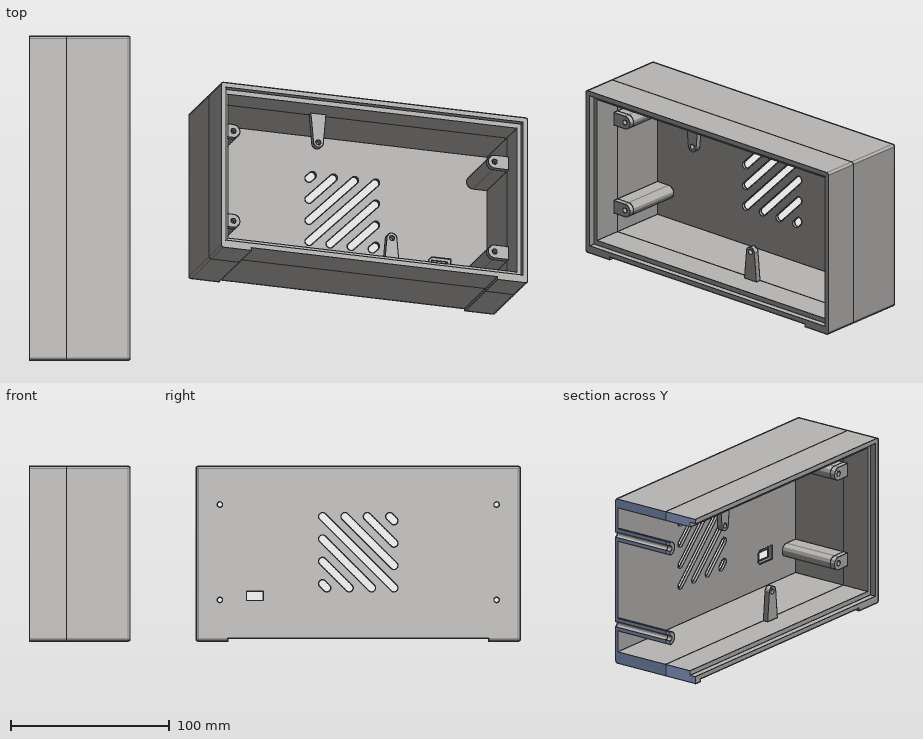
import cadquery as cq
import math

depth = 63.5
length = 204.5
height = 110.4
split_x = 23.5
edge_round = 1.5

side_wall = 5.7
top_wall = 6.1
foot_height = 1.8
foot_length = 20.0
bottom_wall = top_wall + foot_height
back_wall = 2.0
cavity_length = length - 2 * side_wall
cavity_height = height - top_wall - bottom_wall
center_z = bottom_wall + cavity_height / 2

rebate_depth = 4.0
rebate_margin_y = 2.7
rebate_margin_z = 3.0

tab_thickness = 3.5
tab_x = split_x - tab_thickness
screw_hole = 3.3
post_radius = 4.3
post_spacing_y = 174.4
post_spacing_z = 60.0
tapered_tab_radius = 3.3
tapered_tab_root = 10.0
tapered_tab_reach = 19.0
upper_tab_y = 30.5
lower_tab_y = -18.5

vent_radius = 2.5
vent_span = 45.0
vent_pitch = 14.1
vent_pairs = 3
vent_angle = 135

window_length = 10.5
window_height = 5.7
window_y = -65.2
window_z = 28.6
pocket_length = 15.0
pocket_height = 9.5
pocket_chamfer = 2.0
pocket_depth = back_wall / 2


def block(x0, x1, y_size, z_size, z_mid, y_mid=0.0):
    """Box from x0 to x1, centered on (y_mid, z_mid)."""
    return (
        cq.Workplane("YZ", origin=(x0, y_mid, z_mid))
        .rect(y_size, z_size)
        .extrude(x1 - x0)
    )


def outer_block():
    """Whole outer shape, with the gap between the feet cut from below."""
    body = block(0, depth, length, height, height / 2)
    body = body.edges("|X or >X").fillet(edge_round)
    gap = block(0, depth, length - 2 * foot_length, foot_height, foot_height / 2)
    return body.cut(gap)


def cavity():
    """Inner space of both bodies, with the wider rebate at the rim."""
    inside = block(0, depth - back_wall, cavity_length, cavity_height, center_z)
    rebate = block(
        0,
        rebate_depth,
        cavity_length + 2 * rebate_margin_y,
        cavity_height + 2 * rebate_margin_z,
        center_z,
    )
    return inside.union(rebate)


def screw_centers():
    """(y, z) of the four screws at the ends of the case."""
    return [
        (side * post_spacing_y / 2, center_z + level * post_spacing_z / 2)
        for side in (-1, 1)
        for level in (-1, 1)
    ]


def end_lugs(x0, x1):
    """Four round-ended lugs that reach in from the end walls."""
    lugs = cq.Workplane("YZ", origin=(x0, 0, 0))
    wall_y = cavity_length / 2
    for y, z in screw_centers():
        root_y = math.copysign(wall_y, y)
        tip_y = y - math.copysign(post_radius, y)
        lugs = (
            lugs.moveTo(root_y, z - post_radius)
            .lineTo(y, z - post_radius)
            .threePointArc((tip_y, z), (y, z + post_radius))
            .lineTo(root_y, z + post_radius)
            .close()
        )
    return lugs.extrude(x1 - x0)


def screw_holes(x0, x1, centers):
    return (
        cq.Workplane("YZ", origin=(x0, 0, 0))
        .pushPoints(centers)
        .circle(screw_hole / 2)
        .extrude(x1 - x0)
    )


def tapered_tab(y, wall_z, inward):
    """Tab that narrows from a long wall to a round, drilled tip; inward is +1 or -1 along Z."""
    tip_z = wall_z + inward * tapered_tab_reach
    tab = (
        cq.Workplane("YZ", origin=(tab_x, 0, 0))
        .moveTo(y - tapered_tab_root / 2, wall_z)
        .lineTo(y - tapered_tab_radius, tip_z)
        .threePointArc((y, tip_z + inward * tapered_tab_radius), (y + tapered_tab_radius, tip_z))
        .lineTo(y + tapered_tab_root / 2, wall_z)
        .close()
        .extrude(tab_thickness)
    )
    return tab.cut(screw_holes(tab_x, split_x, [(y, tip_z)]))


def vent_slots():
    """Diagonal slots whose ends lie on a square in the middle of the back wall."""
    slots = cq.Workplane("YZ", origin=(depth - back_wall, 0, center_z))
    for step in range(-vent_pairs, vent_pairs + 1):
        shift = step * vent_pitch / 2
        run = vent_span - abs(step) * vent_pitch
        slots = slots.pushPoints([(shift, shift)]).slot2D(
            run * math.sqrt(2) + 2 * vent_radius, 2 * vent_radius, vent_angle
        )
    return slots.extrude(back_wall)


def connector_opening():
    """Window through the back wall with a pocket around it on the inside."""
    inner_x = depth - back_wall
    window = block(inner_x, depth, window_length, window_height, window_z, window_y)
    pocket = block(inner_x, inner_x + pocket_depth, pocket_length, pocket_height, window_z, window_y)
    return window.union(pocket.edges("|X and >Y").chamfer(pocket_chamfer))


def make_front_frame():
    frame = outer_block().intersect(block(0, split_x, length, height, height / 2))
    frame = frame.cut(cavity())
    frame = frame.union(end_lugs(tab_x, split_x))
    frame = frame.union(tapered_tab(upper_tab_y, height - top_wall, -1))
    frame = frame.union(tapered_tab(lower_tab_y, bottom_wall, 1))
    return frame.cut(screw_holes(tab_x, split_x, screw_centers()))


def make_rear_shell():
    shell = outer_block().intersect(block(split_x, depth, length, height, height / 2))
    shell = shell.cut(cavity())
    shell = shell.union(end_lugs(split_x, depth - back_wall))
    shell = shell.cut(screw_holes(split_x, depth, screw_centers()))
    return shell.cut(vent_slots()).cut(connector_opening())


front_frame = make_front_frame()
rear_shell = make_rear_shell()

result = cq.Compound.makeCompound([front_frame.val(), rear_shell.val()])